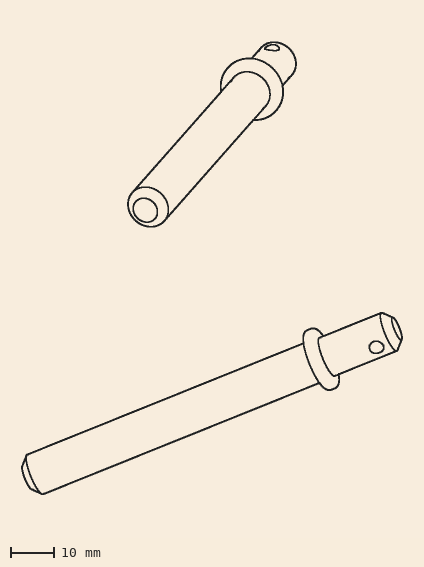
import cadquery as cq

total_length = 95.0
shaft_diameter = 10.0
neck_diameter = 9.6
neck_length = 18.0
collar_diameter = 15.0
collar_thickness = 3.0
collar_edge_radius = 1.1
end_chamfer = 2.0
cross_hole_diameter = 3.3
cross_hole_from_end = 5.2

neck_end = collar_thickness + neck_length
shaft_length = total_length - neck_end


def cylinder(diameter, start, length):
    """Solid cylinder on the Y axis, running toward +Y from the given start."""
    base = cq.Workplane("XZ", origin=(0, start, 0))
    return base.circle(diameter / 2).extrude(-length)


def cross_hole_cutter():
    """Vertical cylinder through the neck near its free end."""
    base = cq.Workplane("XY", origin=(0, neck_end - cross_hole_from_end, 0))
    return base.circle(cross_hole_diameter / 2).extrude(neck_diameter, both=True)


shaft = cylinder(shaft_diameter, -shaft_length, shaft_length).faces("<Y").chamfer(end_chamfer)
collar = cylinder(collar_diameter, 0, collar_thickness).edges("%CIRCLE").fillet(collar_edge_radius)
neck = cylinder(neck_diameter, collar_thickness, neck_length).faces(">Y").chamfer(end_chamfer)

result = shaft.union(collar).union(neck).cut(cross_hole_cutter())